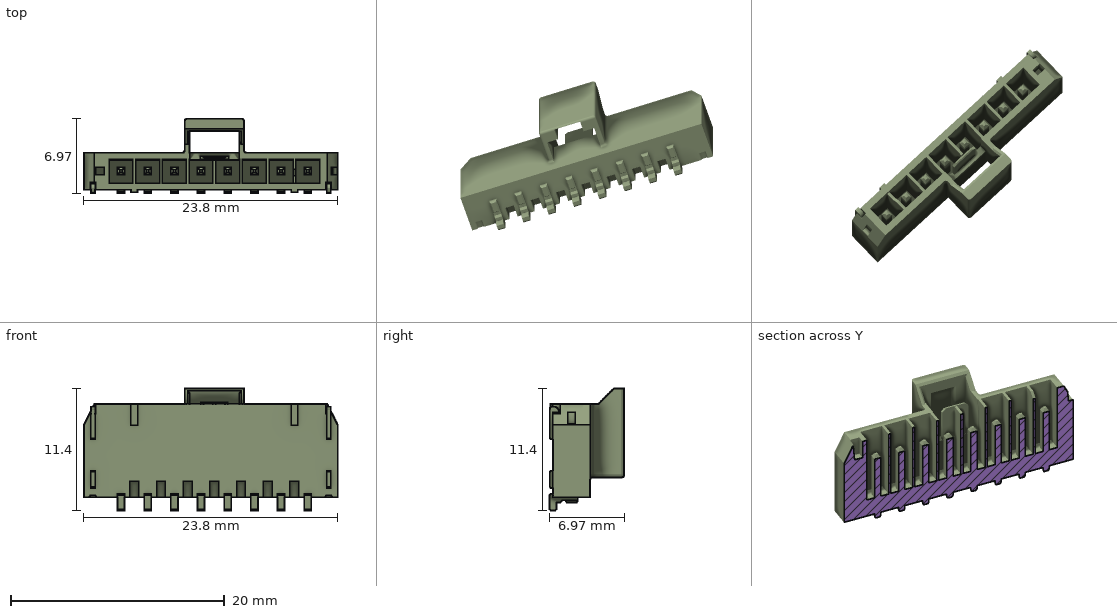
import cadquery as cq


body_length = 23.75
body_depth = 3.5
body_height = 8.74
end_chamfer_x = 1.0
end_chamfer_z = 1.97

pin_count = 8
pitch = 2.5
row_x = 0.33
cell_size = 2.23
cell_front_y = 0.65
cell_floor_z = 1.9
cell_back_draft = 0.1
cell_back_y = cell_front_y + cell_size
cell_middle_y = cell_front_y + cell_size / 2

key_gap_index = 6
key_drop = 0.62
key_slope_top_y = 1.95

pin_size = 0.7
pin_tip_size = 0.24
pin_tip_height = 0.35
pin_top_z = 6.65
tail_front_y = -0.3
tail_inner_y = 0.35
tail_bottom_z = -1.23
tail_top_z = 0.35
tail_edge = 0.15
leg_bottom_z = -0.5
leg_slope_y = 0.7
leg_recess_z = -0.28
leg_recess_y = 0.88
foot_front_y = 1.19
foot_back_y = 2.35
foot_edge = 0.12
foot_edge_height = 0.21

guard_width = 5.55
guard_back_y = 6.67
guard_top_z = body_height + 1.45
guard_bottom_z = 1.85
guard_crest_y = 5.72
guard_slope_end_y = 4.27
guard_inner_back_y = 5.5
guard_round = 0.24
guard_rim_chamfer = 0.2
guard_opening = 4.63
catch_recess_width = 2.55
catch_recess_depth = 1.02
catch_recess_top_z = 8.88
ledge_z = 5.22
tongue_width = 2.68
tongue_thickness = 0.25
tongue_slope = 0.38
tongue_back_chamfer = 0.12

rib_spacing = 14.98
rib_width = 0.62
rib_height = 2.0
rib_proud = 0.21
notch_width = 0.83
notch_height = 1.52
notch_depth = 1.19
pocket_floor_z = 6.88
pocket_length = 0.95
pocket_width = 0.71
pocket_draft = 0.17
left_pocket_x = -10.92
right_pocket_x = 11.2

clip_x = 11.02
clip_width = 0.4
clip_proud = 0.28
clip_edge = 0.12
clip_root_y = 0.24
clip_upper_bottom_z = 5.41
clip_lower_bottom_z = 0.85
clip_lower_top_z = 2.5
clip_slot_width = 0.52
clip_slot_depth = 0.71
clip_slot_floor_z = 7.79
hook_top_z = 8.48
hook_back_y = 0.57
hook_radius = 0.47
hook_front_radius = 0.21
clip_relief_width = 0.7
clip_relief_top_width = 0.47
clip_relief_height = 0.2


def block(x_range, y_range, z_range):
    """Box between the given limits."""
    (x0, x1), (y0, y1), (z0, z1) = x_range, y_range, z_range
    return cq.Workplane("XY").box(x1 - x0, y1 - y0, z1 - z0, centered=False).translate((x0, y0, z0))


def span(middle, width):
    """Limits of a width centred on a position."""
    return middle - width / 2, middle + width / 2


def side_profile(x):
    """Y-Z sketch plane at position x, with the extrusion running along +X."""
    return cq.Workplane("YZ", origin=(x, 0, 0))


def pin_x(index):
    return row_x + (index - (pin_count - 1) / 2) * pitch


def make_housing():
    half = body_length / 2
    outline = [
        (-half, 0),
        (half, 0),
        (half, body_height - end_chamfer_z),
        (half - end_chamfer_x, body_height),
        (-half + end_chamfer_x, body_height),
        (-half, body_height - end_chamfer_z),
    ]
    return cq.Workplane("XZ").polyline(outline).close().extrude(-body_depth)


def make_guard():
    """U-shaped guard with a sloped rim, before its opening is cut."""
    left = row_x - guard_width / 2
    outline = [
        (cell_back_y, guard_bottom_z),
        (guard_back_y, guard_bottom_z),
        (guard_back_y, guard_top_z),
        (guard_crest_y, guard_top_z),
        (guard_slope_end_y, body_height),
        (cell_back_y, body_height),
    ]
    guard = side_profile(left).polyline(outline).close().extrude(guard_width)
    return guard.edges(">Y and |Z").fillet(guard_round).edges("<Z and >Y").fillet(guard_round)


def round_guard_root(body):
    """Fillet between the guard and the rear face of the housing."""
    reach = 0.02
    roots = cq.selectors.BoxSelector(
        (row_x - guard_width / 2 - reach, body_depth - reach, guard_bottom_z - reach),
        (row_x + guard_width / 2 + reach, body_depth + reach, body_height + reach),
        boundingbox=True,
    )
    return body.edges(roots).fillet(guard_round)


def make_guard_opening():
    """Latch opening and rear window, with the catch recess in its back wall."""
    opening_bottom_z = guard_bottom_z - guard_round
    window_front_y = cell_back_y - cell_back_draft
    opening = block(
        span(row_x, guard_opening), (body_depth, guard_inner_back_y), (opening_bottom_z, guard_top_z)
    )
    window = block(span(row_x, guard_opening), (window_front_y, body_depth), (ledge_z, body_height))
    recess = block(
        span(row_x, catch_recess_width),
        (guard_inner_back_y, guard_inner_back_y + catch_recess_depth),
        (guard_bottom_z, catch_recess_top_z),
    )
    return opening.union(window).union(recess)


def chamfer_guard_rim(body):
    """Bevel the inner edges of the two sloped arms."""
    middle_y = (guard_slope_end_y + guard_inner_back_y) / 2
    for side in (-1, 1):
        edge_point = (row_x + side * guard_opening / 2, middle_y, body_height + middle_y - guard_slope_end_y)
        body = body.edges(cq.selectors.NearestToPointSelector(edge_point)).chamfer(guard_rim_chamfer)
    return body


def make_tongue():
    """Tongue standing on the ledge, with sloped upper corners and a bevel on the back top edge."""
    half = tongue_width / 2
    outline = [
        (row_x - half, ledge_z),
        (row_x + half, ledge_z),
        (row_x + half, body_height - tongue_slope),
        (row_x + half - tongue_slope, body_height),
        (row_x - half + tongue_slope, body_height),
        (row_x - half, body_height - tongue_slope),
    ]
    plane = cq.Workplane("XZ", origin=(0, cell_back_y, 0))
    tongue = plane.polyline(outline).close().extrude(-tongue_thickness)
    return tongue.faces(">Z").edges(">Y").chamfer(tongue_back_chamfer)


def make_cell(x):
    """Contact cavity with a slightly drafted back wall."""
    outline = [
        (cell_front_y, cell_floor_z),
        (cell_back_y - cell_back_draft, cell_floor_z),
        (cell_back_y, body_height),
        (cell_front_y, body_height),
    ]
    return side_profile(x - cell_size / 2).polyline(outline).close().extrude(cell_size)


def make_key_notch():
    """Drop in the front part of one partition, reached by a 45 degree slope."""
    outline = [
        (cell_front_y, body_height),
        (key_slope_top_y, body_height),
        (key_slope_top_y - key_drop, body_height - key_drop),
        (cell_front_y, body_height - key_drop),
    ]
    return side_profile(pin_x(key_gap_index)).polyline(outline).close().extrude(pitch)


def make_contact(x):
    """Upright pin with a tapered tip, a leg under the housing and a solder tail."""
    shaft_top_z = pin_top_z - pin_tip_height
    shaft = block(span(x, pin_size), span(cell_middle_y, pin_size), (0, shaft_top_z))
    tip = (
        cq.Workplane("XY", origin=(x, cell_middle_y, shaft_top_z))
        .rect(pin_size, pin_size)
        .workplane(offset=pin_tip_height)
        .rect(pin_tip_size, pin_tip_size)
        .loft(ruled=True)
    )
    outline = [
        (tail_front_y, tail_bottom_z + tail_edge),
        (tail_front_y + tail_edge, tail_bottom_z),
        (tail_inner_y - tail_edge, tail_bottom_z),
        (tail_inner_y, tail_bottom_z + tail_edge),
        (tail_inner_y, leg_bottom_z),
        (leg_slope_y, leg_bottom_z),
        (leg_recess_y, leg_recess_z),
        (foot_back_y, leg_recess_z),
        (foot_back_y, tail_top_z),
        (tail_front_y + tail_edge, tail_top_z),
        (tail_front_y, tail_top_z - tail_edge),
    ]
    leg = side_profile(x - pin_size / 2).polyline(outline).close().extrude(pin_size)
    foot_length = foot_back_y - foot_front_y
    foot = (
        cq.Workplane("XY", origin=(x, (foot_front_y + foot_back_y) / 2, leg_recess_z))
        .rect(pin_size, foot_length)
        .workplane(offset=-foot_edge_height)
        .rect(pin_size - 2 * foot_edge, foot_length - 2 * foot_edge)
        .loft(ruled=True)
    )
    return shaft.union(tip).union(leg).union(foot)


def make_standoff_notch(x):
    """Notch in the lower front edge, below a partition."""
    return block(span(x, notch_width), (0, notch_depth), (0, notch_height))


def make_rib(x):
    return block(span(x, rib_width), (-rib_proud, 0), (body_height - rib_height, body_height))


def make_end_pocket(x):
    """Pocket beside the row, open at the top, with a drafted wall on its -X side."""
    outline = [
        (x, body_height),
        (x + pocket_length, body_height),
        (x + pocket_length, pocket_floor_z),
        (x + pocket_draft, pocket_floor_z),
    ]
    plane = cq.Workplane("XZ", origin=(0, cell_middle_y - pocket_width / 2, 0))
    return plane.polyline(outline).close().extrude(-pocket_width)


def make_clip_slot(x):
    """Slot for the clip hook, with a relief in the lower edge under the clip."""
    slot = block(
        span(x, clip_slot_width), (0, clip_slot_depth), (clip_slot_floor_z, body_height)
    )
    relief_outline = [
        (x - clip_relief_width / 2, 0),
        (x + clip_relief_width / 2, 0),
        (x + clip_relief_top_width / 2, clip_relief_height),
        (x - clip_relief_top_width / 2, clip_relief_height),
    ]
    relief = cq.Workplane("XZ").polyline(relief_outline).close().extrude(-clip_slot_depth)
    return slot.union(relief)


def make_clip(x):
    """Solder clip: hooked upper arm and short lower pad, both rooted in the housing."""
    arm = (
        side_profile(x - clip_width / 2)
        .moveTo(-clip_proud, clip_upper_bottom_z + clip_edge)
        .lineTo(-clip_proud, hook_top_z - hook_front_radius)
        .radiusArc((-clip_proud + hook_front_radius, hook_top_z), hook_front_radius)
        .lineTo(hook_back_y - hook_radius, hook_top_z)
        .radiusArc((hook_back_y, hook_top_z - hook_radius), hook_radius)
        .lineTo(hook_back_y, clip_slot_floor_z)
        .lineTo(clip_root_y, clip_slot_floor_z)
        .lineTo(clip_root_y, clip_upper_bottom_z)
        .lineTo(-clip_proud + clip_edge, clip_upper_bottom_z)
        .close()
        .extrude(clip_width)
    )
    pad = block(
        span(x, clip_width), (-clip_proud, clip_root_y), (clip_lower_bottom_z, clip_lower_top_z)
    )
    return arm.union(pad.edges("<Y and |X").chamfer(clip_edge))


body = round_guard_root(make_housing().union(make_guard()))
body = chamfer_guard_rim(body.cut(make_guard_opening()))
body = body.union(make_tongue())

for index in range(pin_count):
    body = body.cut(make_cell(pin_x(index)))
for index in range(pin_count - 1):
    body = body.cut(make_standoff_notch(pin_x(index) + pitch / 2))
body = body.cut(make_key_notch())
for x in (left_pocket_x, right_pocket_x):
    body = body.cut(make_end_pocket(x))

for side in (-1, 1):
    body = body.union(make_rib(row_x + side * rib_spacing / 2))
    body = body.cut(make_clip_slot(side * clip_x)).union(make_clip(side * clip_x))
for index in range(pin_count):
    body = body.union(make_contact(pin_x(index)))

result = body